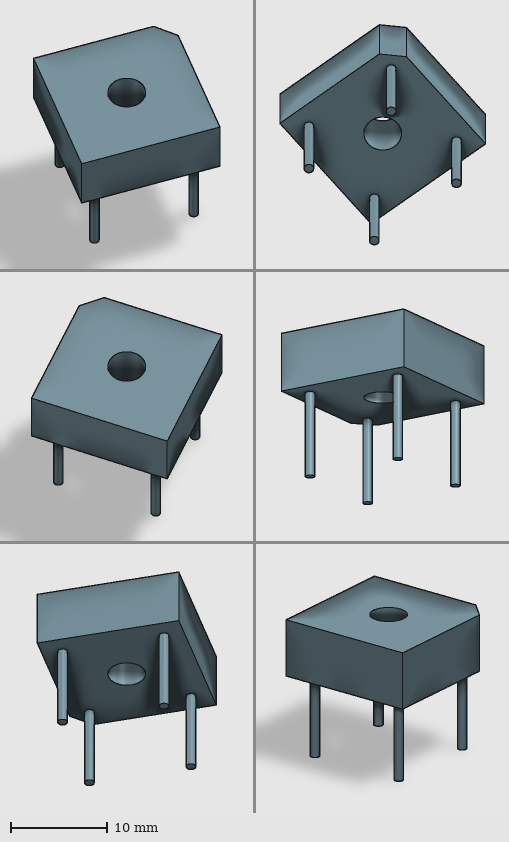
import cadquery as cq

body_side = 15.2
body_height = 6.3
corner_cut = 2.0
hole_diameter = 3.9

overall_height = 15.4
lead_diameter = 1.0
lead_spacing = 10.9
lead_length = overall_height - body_height


def make_body():
    """Block with a cut (-X, +Y) corner and a central through hole."""
    block = cq.Workplane("XY").box(body_side, body_side, body_height, centered=(True, True, False))
    block = block.edges("|Z").edges("<X").edges(">Y").chamfer(corner_cut)
    return block.faces(">Z").workplane(origin=(0, 0)).hole(hole_diameter)


def make_leads():
    """Straight leads on a square pattern, hanging from the underside."""
    return (
        cq.Workplane("XY")
        .rarray(lead_spacing, lead_spacing, 2, 2)
        .circle(lead_diameter / 2)
        .extrude(-lead_length)
    )


result = make_body().union(make_leads())